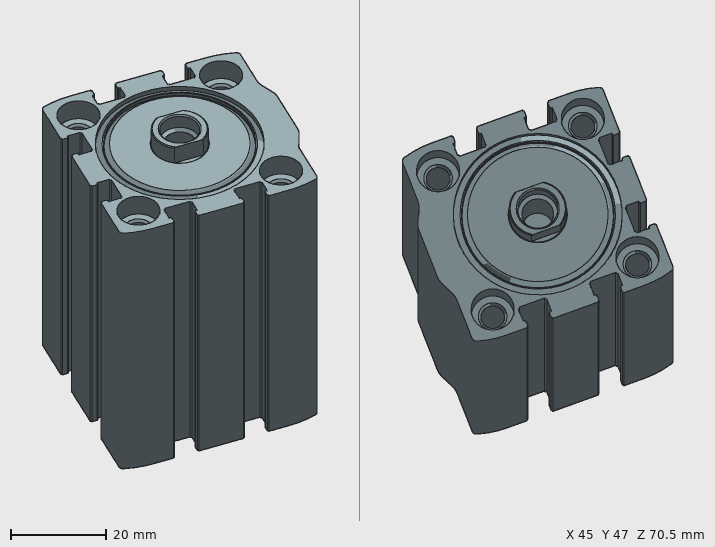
import cadquery as cq
import math

total_height = 70.5
rod_projection = 4.0
housing_height = total_height - rod_projection
half_width = 22.5

bump_height = 2.05
bump_top_half = 6.35
bump_foot_half = 10.8
bump_fillet = 4.2
flank_straight_half = 15.3
flank_corner_x = 21.3
flank_sag = 0.32
corner_fillet = 1.0

slot_offset = 8.0
slot_mouth = 5.2
slot_width = 6.35
slot_depth = 4.8
slot_lip = 1.7
slot_mouth_round = 0.3
slot_lip_round = 0.2
slot_floor_round = 0.35
slot_overrun = 0.7

mount_offset = 16.2
mount_hole_dia = 4.9
mount_chamfer_dia = 6.0
counterbore_dia = 9.0
counterbore_depth = 5.0

cap_recess_radius = 35.4 / 2
cap_face_radius = 14.7
cap_face_drop = 0.15
cap_rim_radius = 15.0
cap_rim_drop = 0.3
cap_groove_inner_radius = 15.85
cap_groove_outer_radius = 32.0 / 2
cap_groove_drop = 1.0
cap_lip_radius = 16.3
cap_lip_drop = 0.35
cap_recess_drop = 1.1
cap_bore_chamfer = 0.2

rod_dia = 12.0
rod_length = 35.25
rod_tip_chamfer = 0.2
rod_flat_width = 10.0
rod_flat_slope = 30.0
rod_mouth_dia = 9.0
rod_counterbore_dia = 8.4
rod_counterbore_depth = 3.4
rod_hole_dia = 6.6
rod_hole_depth = 14.1
rod_counterbore_cone = 60.0
drill_half_angle = 59.0


def housing_block():
    """Extruded profile: bowed flanks near the corners and a raised bump on the +Y side."""
    bump_top = half_width + bump_height
    flank_mid_y = (flank_straight_half + half_width) / 2
    flank_mid_x = (half_width + flank_corner_x) / 2 + flank_sag
    block = (
        cq.Workplane("XY")
        .moveTo(-flank_corner_x, -half_width)
        .lineTo(flank_corner_x, -half_width)
        .threePointArc((flank_mid_x, -flank_mid_y), (half_width, -flank_straight_half))
        .lineTo(half_width, flank_straight_half)
        .threePointArc((flank_mid_x, flank_mid_y), (flank_corner_x, half_width))
        .lineTo(bump_foot_half, half_width)
        .lineTo(bump_top_half, bump_top)
        .lineTo(-bump_top_half, bump_top)
        .lineTo(-bump_foot_half, half_width)
        .lineTo(-flank_corner_x, half_width)
        .threePointArc((-flank_mid_x, flank_mid_y), (-half_width, flank_straight_half))
        .lineTo(-half_width, -flank_straight_half)
        .threePointArc((-flank_mid_x, -flank_mid_y), (-flank_corner_x, -half_width))
        .close()
        .extrude(housing_height)
    )
    for side in (-1, 1):
        for y in (-half_width, half_width):
            corner = cq.NearestToPointSelector((side * flank_corner_x, y, housing_height / 2))
            block = block.edges("|Z").edges(corner).fillet(corner_fillet)
        for x, y in ((bump_foot_half, half_width), (bump_top_half, bump_top)):
            bend = cq.NearestToPointSelector((side * x, y, housing_height / 2))
            block = block.edges("|Z").edges(bend).fillet(bump_fillet)
    return block


def slot_cutter(offset):
    """T-slot opening on the -Y side, centred at X = offset, with rounded mouth and floor corners."""
    mouth = slot_mouth / 2
    wide = slot_width / 2
    face = -half_width
    lip = face + slot_lip
    floor = face + slot_depth
    return (
        cq.Workplane("XY")
        .moveTo(offset - mouth - slot_mouth_round, face - slot_overrun)
        .lineTo(offset - mouth - slot_mouth_round, face)
        .radiusArc((offset - mouth, face + slot_mouth_round), slot_mouth_round)
        .lineTo(offset - mouth, lip - slot_lip_round)
        .radiusArc((offset - mouth - slot_lip_round, lip), slot_lip_round)
        .lineTo(offset - wide, lip)
        .lineTo(offset - wide, floor - slot_floor_round)
        .radiusArc((offset - wide + slot_floor_round, floor), -slot_floor_round)
        .lineTo(offset + wide - slot_floor_round, floor)
        .radiusArc((offset + wide, floor - slot_floor_round), -slot_floor_round)
        .lineTo(offset + wide, lip)
        .lineTo(offset + mouth + slot_lip_round, lip)
        .radiusArc((offset + mouth, lip - slot_lip_round), slot_lip_round)
        .lineTo(offset + mouth, face + slot_mouth_round)
        .radiusArc((offset + mouth + slot_mouth_round, face), slot_mouth_round)
        .lineTo(offset + mouth + slot_mouth_round, face - slot_overrun)
        .close()
        .extrude(housing_height)
    )


def mount_hole_cutter():
    """Through hole with a countersunk step under a top counterbore, on the Z axis."""
    counterbore_floor = housing_height - counterbore_depth
    chamfer = (mount_chamfer_dia - mount_hole_dia) / 2
    return (
        cq.Workplane("XZ")
        .lineTo(mount_hole_dia / 2, 0)
        .lineTo(mount_hole_dia / 2, counterbore_floor - chamfer)
        .lineTo(mount_chamfer_dia / 2, counterbore_floor)
        .lineTo(counterbore_dia / 2, counterbore_floor)
        .lineTo(counterbore_dia / 2, housing_height)
        .lineTo(0, housing_height)
        .close()
        .revolve(360, (0, 0, 0), (0, 1, 0))
    )


def cap_face_cutter():
    """Shapes the cap: lowered face, sloped rim, narrow groove, raised lip and outer slope."""
    face = housing_height - cap_face_drop
    rim = housing_height - cap_rim_drop
    groove = housing_height - cap_groove_drop
    lip = housing_height - cap_lip_drop
    recess = housing_height - cap_recess_drop
    return (
        cq.Workplane("XZ")
        .moveTo(0, face)
        .lineTo(cap_face_radius, face)
        .lineTo(cap_rim_radius, rim)
        .lineTo(cap_groove_inner_radius, groove)
        .lineTo(cap_groove_outer_radius, groove)
        .lineTo(cap_groove_outer_radius, lip)
        .lineTo(cap_lip_radius, lip)
        .lineTo(cap_recess_radius, recess)
        .lineTo(cap_recess_radius, housing_height)
        .lineTo(0, housing_height)
        .close()
        .revolve(360, (0, 0, 0), (0, 1, 0))
    )


def rod_bore_cutter():
    """Blind bore for the buried length of the rod, chamfered where it meets the cap face."""
    rod_radius = rod_dia / 2
    mouth_radius = rod_radius + cap_bore_chamfer
    face = housing_height - cap_face_drop
    return (
        cq.Workplane("XZ")
        .moveTo(0, total_height - rod_length)
        .lineTo(rod_radius, total_height - rod_length)
        .lineTo(rod_radius, face - cap_bore_chamfer)
        .lineTo(mouth_radius, face)
        .lineTo(mouth_radius, housing_height)
        .lineTo(0, housing_height)
        .close()
        .revolve(360, (0, 0, 0), (0, 1, 0))
    )


def make_housing():
    housing = housing_block()
    for side_angle in (-90, 0, 90):
        for offset in (-slot_offset, slot_offset):
            cutter = slot_cutter(offset).rotate((0, 0, 0), (0, 0, 1), side_angle)
            housing = housing.cut(cutter)
    for x in (-mount_offset, mount_offset):
        for y in (-mount_offset, mount_offset):
            housing = housing.cut(mount_hole_cutter().translate((x, y, 0)))
    return housing.cut(cap_face_cutter()).cut(rod_bore_cutter())


def rod_socket_cutter():
    """Blind hole in the rod tip: mouth chamfer, counterbore, conical step, hole and drill point."""
    mouth_chamfer = (rod_mouth_dia - rod_counterbore_dia) / 2
    step = (rod_counterbore_dia - rod_hole_dia) / 2
    step_depth = step / math.tan(math.radians(rod_counterbore_cone))
    point_depth = rod_hole_dia / 2 / math.tan(math.radians(drill_half_angle))
    return (
        cq.Workplane("XZ", origin=(0, 0, total_height))
        .lineTo(rod_mouth_dia / 2, 0)
        .lineTo(rod_counterbore_dia / 2, -mouth_chamfer)
        .lineTo(rod_counterbore_dia / 2, -rod_counterbore_depth)
        .lineTo(rod_hole_dia / 2, -rod_counterbore_depth - step_depth)
        .lineTo(rod_hole_dia / 2, -rod_hole_depth)
        .lineTo(0, -rod_hole_depth - point_depth)
        .close()
        .revolve(360, (0, 0, 0), (0, 1, 0))
    )


def rod_flat_cutter():
    """Wrench flat on the +X side, running out along a slope just inside the cap bore."""
    flat = rod_flat_width / 2
    edge = rod_dia / 2
    flat_bottom = housing_height - cap_face_drop - cap_bore_chamfer
    slope_drop = (edge - flat) * math.tan(math.radians(rod_flat_slope))
    return (
        cq.Workplane("XZ")
        .moveTo(flat, flat_bottom)
        .lineTo(flat, total_height)
        .lineTo(edge, total_height)
        .lineTo(edge, flat_bottom - slope_drop)
        .close()
        .extrude(edge, both=True)
    )


def make_rod():
    rod = (
        cq.Workplane("XY")
        .workplane(offset=total_height - rod_length)
        .circle(rod_dia / 2)
        .extrude(rod_length)
        .faces(">Z")
        .chamfer(rod_tip_chamfer)
        .cut(rod_socket_cutter())
    )
    for angle in (0, 180):
        rod = rod.cut(rod_flat_cutter().rotate((0, 0, 0), (0, 0, 1), angle))
    return rod


housing = make_housing()
rod = make_rod()
result = cq.Compound.makeCompound([housing.val(), rod.val()])